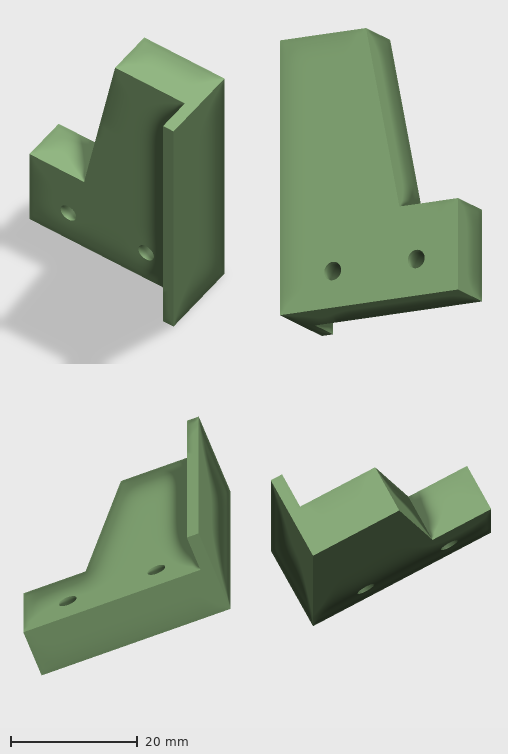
import cadquery as cq

width = 32.0
depth = 14.0
height = 45.0

plate_thickness = 8.0
foot_height = 15.0
taper_bottom_x = 10.55
taper_top_x = 16.5

flange_thickness = 2.02

hole_diameter = 3.0
hole_height = 6.0
first_hole_x = 7.5
hole_spacing = 15.0

flange_depth = depth - plate_thickness


def make_plate():
    """Plate profile in XZ, with its front face at Y = 0."""
    outline = [
        (0, 0),
        (width, 0),
        (width, height),
        (taper_top_x, height),
        (taper_bottom_x, foot_height),
        (0, foot_height),
    ]
    return cq.Workplane("XZ").polyline(outline).close().extrude(-plate_thickness)


def make_flange():
    """Full-height strip in front of the plate."""
    strip = cq.Workplane("XY").box(flange_thickness, flange_depth, height, centered=False)
    return strip.translate((width - flange_thickness, -flange_depth, 0))


def make_holes():
    """Two cylinders running through the plate thickness."""
    centers = [(first_hole_x + i * hole_spacing, hole_height) for i in range(2)]
    return cq.Workplane("XZ").pushPoints(centers).circle(hole_diameter / 2).extrude(-plate_thickness)


result = make_plate().union(make_flange()).cut(make_holes())